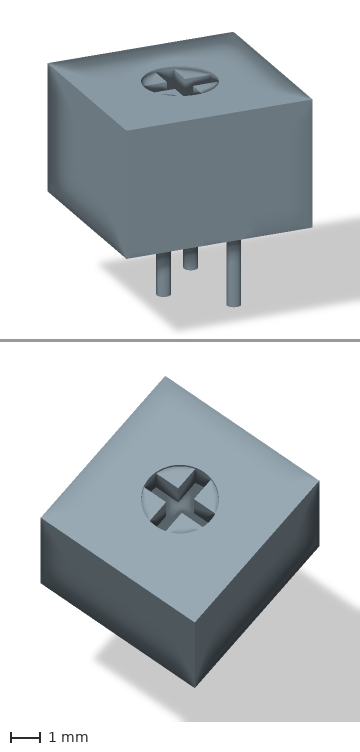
import cadquery as cq

body_width = 6.6
body_depth = 6.9
overall_height = 7.7
pin_length = 3.0
body_height = overall_height - pin_length

rotor_diameter = 2.64
rotor_recess = 0.1
slot_width = 0.67
slot_depth = 1.0

pin_diameter = 0.5
pin_pitch = 1.8
rear_row_y = 1.19
front_row_y = rear_row_y - pin_pitch
pin_positions = [
    (-pin_pitch, rear_row_y),
    (0, front_row_y),
    (pin_pitch, rear_row_y),
]


def make_body():
    """Rectangular housing with its underside at Z = 0."""
    return cq.Workplane("XY").box(body_width, body_depth, body_height, centered=(True, True, False))


def make_rotor_cut():
    """Shallow round recess with a cross slot in its floor, kept within the rotor's outline."""
    recess_floor = body_height - rotor_recess
    slot_floor = recess_floor - slot_depth
    recess = cq.Workplane("XY").workplane(offset=recess_floor).circle(rotor_diameter / 2).extrude(rotor_recess)
    slot_plane = cq.Workplane("XY").workplane(offset=slot_floor)
    cross = slot_plane.rect(rotor_diameter, slot_width).extrude(slot_depth)
    cross = cross.union(slot_plane.rect(slot_width, rotor_diameter).extrude(slot_depth))
    rotor = slot_plane.circle(rotor_diameter / 2).extrude(slot_depth)
    return recess.union(cross.intersect(rotor))


def make_pins():
    """Round pins hanging from the underside of the housing."""
    return cq.Workplane("XY").pushPoints(pin_positions).circle(pin_diameter / 2).extrude(-pin_length)


result = make_body().cut(make_rotor_cut()).union(make_pins())